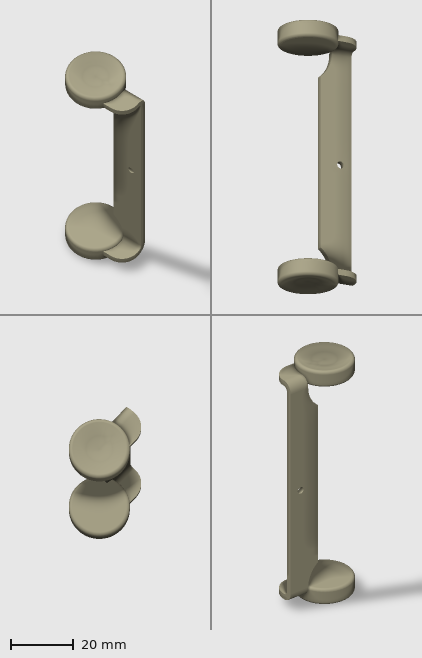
import cadquery as cq
import math

overall_height = 86.6
overall_length = 26.3

pad_diameter = 19.5
pad_height = 5.8
pad_rim_fillet = 1.0
dish_radius = 34.6

sheet_thickness = 2.0
bend_inner_radius = 1.5
plate_width = 11.0
plate_back_y = 4.0
neck_width = 7.0
shoulder_z = 29.1
flange_offset = 2.7
flange_front_y = -6.15
flange_corner_radius = 6.1

hole_diameter = 2.3
hole_edge_distance = 4.0

top_z = overall_height / 2
pad_radius = pad_diameter / 2
end_x = overall_length - pad_radius
plate_left_x = end_x - plate_width
neck_x = end_x - neck_width
flange_top_z = top_z - flange_offset
flange_bottom_z = flange_top_z - sheet_thickness
plate_front_y = plate_back_y - sheet_thickness
bend_outer_radius = bend_inner_radius + sheet_thickness
bend_y = plate_back_y - bend_outer_radius
bend_z = flange_top_z - bend_outer_radius


def make_pad():
    """Upper pad: the rim fillet runs tangent into the spherical dish."""
    rim_center_r = pad_radius - pad_rim_fillet
    rim_center_z = top_z - pad_rim_fillet
    center_distance = dish_radius + pad_rim_fillet
    dish_angle = math.asin(rim_center_r / center_distance)
    dish_center_z = rim_center_z + center_distance * math.cos(dish_angle)
    dish_edge_r = dish_radius * math.sin(dish_angle)
    dish_edge_z = dish_center_z - dish_radius * math.cos(dish_angle)
    dish_mid_r = dish_radius * math.sin(dish_angle / 2)
    dish_mid_z = dish_center_z - dish_radius * math.cos(dish_angle / 2)
    bottom_z = top_z - pad_height
    fillet_mid = pad_rim_fillet * math.sqrt(0.5)

    profile = (
        cq.Workplane("XZ")
        .moveTo(0, bottom_z)
        .lineTo(rim_center_r, bottom_z)
        .threePointArc(
            (rim_center_r + fillet_mid, bottom_z + pad_rim_fillet - fillet_mid),
            (pad_radius, bottom_z + pad_rim_fillet),
        )
        .lineTo(pad_radius, rim_center_z)
        .threePointArc((rim_center_r, top_z), (dish_edge_r, dish_edge_z))
        .threePointArc((dish_mid_r, dish_mid_z), (0, dish_center_z - dish_radius))
        .close()
    )
    return profile.revolve(360, (0, 0), (0, 1))


def make_plate():
    """Upright plate between the bends, with necked corners and a hole."""
    arc_width = neck_x - plate_left_x
    arc_height = bend_z - shoulder_z
    arc_radius = (arc_width**2 + arc_height**2) / (2 * arc_width)
    half_angle = math.asin(arc_height / arc_radius) / 2
    arc_mid_x = neck_x - arc_radius * (1 - math.cos(half_angle))
    arc_mid_z = bend_z - arc_radius * math.sin(half_angle)

    plate = (
        cq.Workplane("XZ", origin=(0, plate_back_y, 0))
        .moveTo(end_x, -bend_z)
        .lineTo(end_x, bend_z)
        .lineTo(neck_x, bend_z)
        .threePointArc((arc_mid_x, arc_mid_z), (plate_left_x, shoulder_z))
        .lineTo(plate_left_x, -shoulder_z)
        .threePointArc((arc_mid_x, -arc_mid_z), (neck_x, -bend_z))
        .close()
        .extrude(sheet_thickness)
    )
    hole = (
        cq.Workplane("XZ", origin=(0, plate_back_y, 0))
        .center(end_x - hole_edge_distance, 0)
        .circle(hole_diameter / 2)
        .extrude(sheet_thickness)
    )
    return plate.cut(hole)


def make_bend():
    """Quarter-round bend joining the plate to the upper flange."""
    mid = math.sqrt(0.5)
    return (
        cq.Workplane("YZ", origin=(neck_x, 0, 0))
        .moveTo(plate_back_y, bend_z)
        .threePointArc(
            (bend_y + bend_outer_radius * mid, bend_z + bend_outer_radius * mid),
            (bend_y, flange_top_z),
        )
        .lineTo(bend_y, flange_bottom_z)
        .threePointArc(
            (bend_y + bend_inner_radius * mid, bend_z + bend_inner_radius * mid),
            (plate_front_y, bend_z),
        )
        .close()
        .extrude(neck_width)
    )


def make_flange():
    """Upper flange reaching into the pad, with a rounded free corner."""
    return (
        cq.Workplane("XY", origin=(plate_left_x, flange_front_y, flange_bottom_z))
        .box(plate_width, bend_y - flange_front_y, sheet_thickness, centered=False)
        .edges("|Z and >X and <Y")
        .fillet(flange_corner_radius)
    )


upper_end = make_pad().union(make_flange()).union(make_bend())
lower_end = upper_end.mirror("XY")
result = make_plate().union(upper_end).union(lower_end)